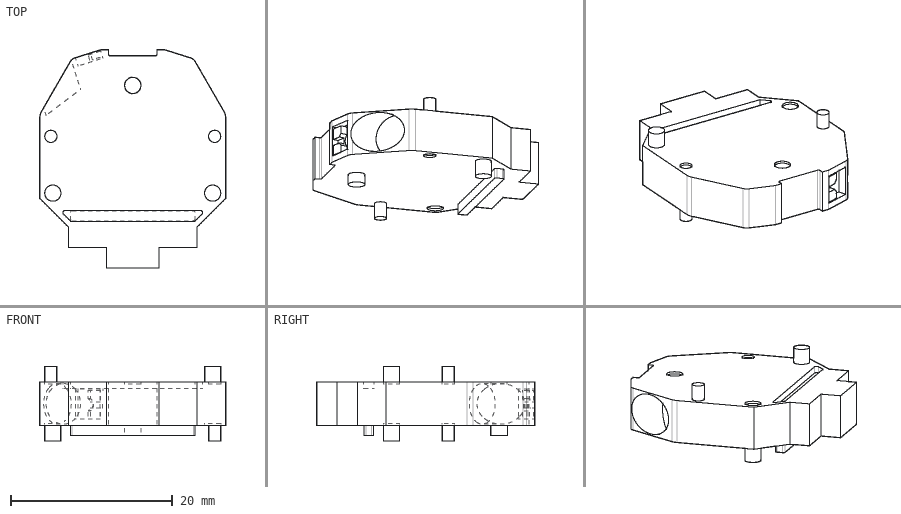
import cadquery as cq
import math

THICKNESS = 5.4
LENGTH = 27.0
HALF_WIDTH = 11.5
TAB_HALF_WIDTH = 3.27
TAB_LENGTH = 2.55
BASE_HALF_WIDTH = 7.96
BASE_TOP = 5.08
LOWER_BEVEL = HALF_WIDTH - BASE_HALF_WIDTH
CROWN_HALF_WIDTH = 3.95
SHOULDER_X = 7.53
SHOULDER_Y = 25.87
FLANK_ANGLE = 60.0
SHOULDER_RADIUS = 1.0
FLANK_RADIUS = 1.5

NOTCH_WIDTH = 6.0
NOTCH_DEPTH = 0.75
NOTCH_RADIUS = 0.22

PIN_HEIGHT = 1.92
SMALL_PIN_DIAMETER = 1.5
SMALL_PIN_X = 10.12
SMALL_PIN_Y = 16.28
LARGE_PIN_DIAMETER = 2.0
LARGE_PIN_X = 9.88
LARGE_PIN_Y = 9.25
CENTER_PIN_DIAMETER = 2.08
CENTER_RECESS_DIAMETER = 2.0
LOW_FEATURE_HEIGHT = 1.25
CENTER_PIN_Y = 22.57
RECESS_DEPTH = 0.27

RIB_LENGTH = 15.45
RIB_WIDTH = 1.22
RIB_Y = 6.45
RIB_RADIUS = 0.25
SLOT_BOTTOM_Y = 5.78
SLOT_WIDTH = 1.32
SLOT_BOTTOM_HALF_LENGTH = 7.67
SLOT_DEPTH = 0.8
SLOT_RADIUS = 0.25

BORE_DIAMETER = 5.02
BORE_MOUTH_Y = 22.8
BORE_FLOOR_TOP_Y = 22.09
BORE_FLOOR_NORMAL_ANGLE = 127.0

POCKET_START = 0.08
POCKET_END = 3.3
POCKET_HALF_HEIGHT = 1.85
POCKET_DEPTH = 0.15
LEDGE_END = 1.7
DEEP_DEPTH = 1.08
TOP_SLIT_HEIGHT = 0.25
MIDDLE_SLIT_HEIGHT = 0.75
MIDDLE_SLIT_DEPTH = 0.86
POCKET_HOLE_DIAMETER = 1.84
POCKET_HOLE_POSITION = 2.21

HALF_THICKNESS = THICKNESS / 2
SLOPE_ANGLE = math.degrees(math.atan2(LENGTH - SHOULDER_Y, SHOULDER_X - CROWN_HALF_WIDTH))
FLANK_BOTTOM_Y = SHOULDER_Y - (HALF_WIDTH - SHOULDER_X) * math.tan(math.radians(FLANK_ANGLE))


def direction(angle):
    """Unit vector in the XY plane at an angle from the X axis."""
    return cq.Vector(math.cos(math.radians(angle)), math.sin(math.radians(angle)), 0)


def make_body():
    right_side = [
        (TAB_HALF_WIDTH, 0),
        (TAB_HALF_WIDTH, TAB_LENGTH),
        (BASE_HALF_WIDTH, TAB_LENGTH),
        (BASE_HALF_WIDTH, BASE_TOP),
        (HALF_WIDTH, BASE_TOP + LOWER_BEVEL),
        (HALF_WIDTH, FLANK_BOTTOM_Y),
        (SHOULDER_X, SHOULDER_Y),
        (CROWN_HALF_WIDTH, LENGTH),
    ]
    left_side = [(-x, y) for x, y in reversed(right_side)]
    body = (
        cq.Workplane("XY", origin=(0, 0, -HALF_THICKNESS))
        .polyline(right_side + left_side)
        .close()
        .extrude(THICKNESS)
    )
    for x, y, radius in (
        (SHOULDER_X, SHOULDER_Y, SHOULDER_RADIUS),
        (HALF_WIDTH, FLANK_BOTTOM_Y, FLANK_RADIUS),
    ):
        for side in (-1, 1):
            corner = cq.selectors.NearestToPointSelector((side * x, y, 0))
            body = body.edges("|Z").edges(corner).fillet(radius)
    return body


def make_notch():
    return (
        cq.Workplane("XY", origin=(0, LENGTH, 0))
        .box(NOTCH_WIDTH, 2 * NOTCH_DEPTH, THICKNESS)
        .edges("|Z and <Y")
        .fillet(NOTCH_RADIUS)
    )


def cylinder_on_face(x, y, side, diameter, height):
    """Cylinder rising by height from the top (side 1) or bottom (side -1) face; sinks if negative."""
    face = cq.Workplane("XY", origin=(x, y, side * HALF_THICKNESS))
    return face.circle(diameter / 2).extrude(side * height)


def add_pin(body, x, y, side, diameter, height, recess_diameter):
    body = body.union(cylinder_on_face(x, y, side, diameter, height))
    return body.cut(cylinder_on_face(x, y, -side, recess_diameter, -RECESS_DEPTH))


def make_rib():
    return (
        cq.Workplane("XY", origin=(0, RIB_Y, -HALF_THICKNESS))
        .rect(RIB_LENGTH, RIB_WIDTH)
        .extrude(-LOW_FEATURE_HEIGHT)
        .edges("|Z")
        .fillet(RIB_RADIUS)
    )


def make_slot():
    top_y = SLOT_BOTTOM_Y + SLOT_WIDTH
    top_half_length = SLOT_BOTTOM_HALF_LENGTH + SLOT_WIDTH
    return (
        cq.Workplane("XY", origin=(0, 0, HALF_THICKNESS))
        .polyline([
            (-SLOT_BOTTOM_HALF_LENGTH, SLOT_BOTTOM_Y),
            (SLOT_BOTTOM_HALF_LENGTH, SLOT_BOTTOM_Y),
            (top_half_length, top_y),
            (-top_half_length, top_y),
        ])
        .close()
        .extrude(-SLOT_DEPTH)
        .edges("|Z and >Y")
        .fillet(SLOT_RADIUS)
    )


def make_bore():
    outward = direction(90 + SLOPE_ANGLE)
    across = direction(SLOPE_ANGLE)
    mouth_x = -SHOULDER_X - (SHOULDER_Y - BORE_MOUTH_Y) / math.tan(math.radians(FLANK_ANGLE))
    mouth = cq.Vector(mouth_x, BORE_MOUTH_Y, 0)
    far_side = mouth + across * (BORE_DIAMETER / 2)
    floor_drop = (BORE_FLOOR_TOP_Y - far_side.y) / outward.y
    floor_edge = far_side + outward * floor_drop

    reach = 2 * BORE_DIAMETER
    bore_plane = cq.Plane(mouth - outward * reach, across, outward)
    bore = cq.Workplane(bore_plane).circle(BORE_DIAMETER / 2).extrude(2 * reach)
    floor_plane = cq.Plane(floor_edge, (0, 0, 1), direction(BORE_FLOOR_NORMAL_ANGLE))
    open_side = cq.Workplane(floor_plane).rect(4 * reach, 4 * reach).extrude(2 * reach)
    return bore.intersect(open_side)


def make_slope_pocket():
    upper_end = (-CROWN_HALF_WIDTH, LENGTH, 0)
    slope = cq.Workplane(
        cq.Plane(upper_end, direction(180 + SLOPE_ANGLE), direction(90 + SLOPE_ANGLE))
    )

    def sunk_block(start, end, low_z, high_z, depth):
        center = ((start + end) / 2, (low_z + high_z) / 2)
        return slope.center(*center).rect(end - start, high_z - low_z).extrude(-depth)

    ledge_top = POCKET_HALF_HEIGHT - TOP_SLIT_HEIGHT
    ledge_middle = (ledge_top - POCKET_HALF_HEIGHT) / 2
    slit_low = ledge_middle - MIDDLE_SLIT_HEIGHT / 2
    slit_high = ledge_middle + MIDDLE_SLIT_HEIGHT / 2
    shallow = sunk_block(POCKET_START, POCKET_END, -POCKET_HALF_HEIGHT, POCKET_HALF_HEIGHT, POCKET_DEPTH)
    lower_end = sunk_block(LEDGE_END, POCKET_END, -POCKET_HALF_HEIGHT, POCKET_HALF_HEIGHT, DEEP_DEPTH)
    top_slit = sunk_block(POCKET_START, POCKET_END, ledge_top, POCKET_HALF_HEIGHT, DEEP_DEPTH)
    middle_slit = sunk_block(POCKET_START, POCKET_END, slit_low, slit_high, MIDDLE_SLIT_DEPTH)
    hole_center = slope.center(POCKET_HOLE_POSITION, ledge_middle)
    hole = hole_center.circle(POCKET_HOLE_DIAMETER / 2).extrude(-DEEP_DEPTH)
    return shallow.union(lower_end).union(top_slit).union(middle_slit).union(hole)


result = make_body().cut(make_notch())

for side in (1, -1):
    for x, y, diameter in (
        (-side * SMALL_PIN_X, SMALL_PIN_Y, SMALL_PIN_DIAMETER),
        (side * LARGE_PIN_X, LARGE_PIN_Y, LARGE_PIN_DIAMETER),
    ):
        result = add_pin(result, x, y, side, diameter, PIN_HEIGHT, diameter)

result = add_pin(
    result, 0, CENTER_PIN_Y, -1, CENTER_PIN_DIAMETER, LOW_FEATURE_HEIGHT, CENTER_RECESS_DIAMETER
)

result = result.union(make_rib()).cut(make_slot())
result = result.cut(make_bore()).cut(make_slope_pocket())